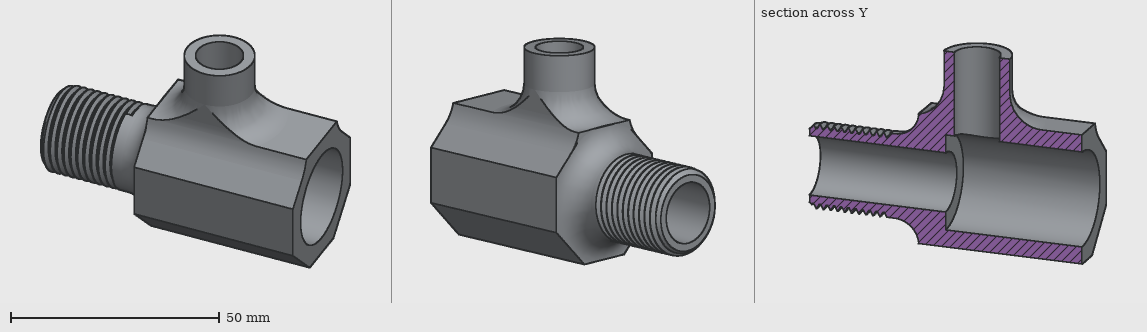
import cadquery as cq
import math

TOTAL_LENGTH = 70.0
TOTAL_HEIGHT = 50.0
ACROSS_FLATS = 33.0
SHOULDER_X = 28.0
BRANCH_X = 43.0
RUN_BORE_DIAMETER = 15.0
SOCKET_DIAMETER = 24.1
SOCKET_DEPTH = 35.0

SHANK_DIAMETER = 21.65
SHANK_CHAMFER = 1.45
SHANK_FLARE_RADIUS = 6.0

THREAD_PITCH = 1.814
THREAD_START_X = 0.25
THREAD_END_X = 20.0
THREAD_DEPTH = 1.2
THREAD_ROOT_WIDTH = 0.25
THREAD_HALF_ANGLE = 30.0
THREAD_END_ANGLE = 100.0
GROOVE_OVERSHOOT = 0.1

BRANCH_DIAMETER = 17.0
BRANCH_BORE_DIAMETER = 11.5
BRANCH_FLARE_RADIUS = 8.0
WEB_BLEND_RADIUS = 10.0

OCTAGON_SIDES = 8
OCTAGON_HALF_STEP_DEG = 180 / OCTAGON_SIDES
OCTAGON_HALF_STEP = math.radians(OCTAGON_HALF_STEP_DEG)
DIAGONAL = math.sin(math.radians(45))
THREAD_LENGTH = THREAD_END_X - THREAD_START_X
HALF_FLATS = ACROSS_FLATS / 2
HALF_SIDE = HALF_FLATS * math.tan(OCTAGON_HALF_STEP)
SHANK_RADIUS = SHANK_DIAMETER / 2
BRANCH_RADIUS = BRANCH_DIAMETER / 2
BODY_LENGTH = TOTAL_LENGTH - SHOULDER_X
BRANCH_TOP = TOTAL_HEIGHT - HALF_FLATS
BRANCH_FLARE_TOP = HALF_FLATS + BRANCH_FLARE_RADIUS


def make_web_section():
    """Extruded body section: an octagon whose top opens into flat branch-width sides."""
    corner_z = HALF_FLATS / DIAGONAL - BRANCH_RADIUS
    tangent_length = WEB_BLEND_RADIUS * math.tan(OCTAGON_HALF_STEP)
    diagonal_step = tangent_length * DIAGONAL
    arc_center_y = BRANCH_RADIUS + WEB_BLEND_RADIUS
    arc_center_z = corner_z + tangent_length
    arc_middle = (
        arc_center_y - WEB_BLEND_RADIUS * math.cos(OCTAGON_HALF_STEP),
        arc_center_z - WEB_BLEND_RADIUS * math.sin(OCTAGON_HALF_STEP),
    )
    arc_low = (BRANCH_RADIUS + diagonal_step, corner_z - diagonal_step)
    half = (
        cq.Workplane("YZ", origin=(SHOULDER_X, 0, 0))
        .moveTo(0, -HALF_FLATS)
        .lineTo(HALF_SIDE, -HALF_FLATS)
        .lineTo(HALF_FLATS, -HALF_SIDE)
        .lineTo(HALF_FLATS, HALF_SIDE)
        .lineTo(*arc_low)
        .threePointArc(arc_middle, (BRANCH_RADIUS, arc_center_z))
        .lineTo(BRANCH_RADIUS, BRANCH_TOP)
        .lineTo(0, BRANCH_TOP)
        .close()
        .extrude(BODY_LENGTH)
    )
    return half.union(half.mirror("XZ"))


def make_branch_envelope():
    """Revolved branch tube with a flare that runs out tangent to the body's top flat."""
    arc_middle = (
        BRANCH_RADIUS + BRANCH_FLARE_RADIUS * (1 - DIAGONAL),
        BRANCH_FLARE_TOP - BRANCH_FLARE_RADIUS * DIAGONAL,
    )
    return (
        cq.Workplane("XZ", origin=(BRANCH_X, 0, 0))
        .lineTo(0, BRANCH_TOP)
        .lineTo(BRANCH_RADIUS, BRANCH_TOP)
        .lineTo(BRANCH_RADIUS, BRANCH_FLARE_TOP)
        .threePointArc(arc_middle, (BRANCH_RADIUS + BRANCH_FLARE_RADIUS, HALF_FLATS))
        .lineTo(BRANCH_RADIUS + BRANCH_FLARE_RADIUS, 0)
        .close()
        .revolve(360, (0, 0, 0), (0, 1, 0))
    )


def make_body():
    """Octagonal body and branch, both trimmed to the same extruded section."""
    run_block = (
        cq.Workplane("YZ", origin=(SHOULDER_X, 0, 0))
        .rect(ACROSS_FLATS, ACROSS_FLATS)
        .extrude(BODY_LENGTH)
    )
    section = make_web_section()
    return section.intersect(run_block).union(section.intersect(make_branch_envelope()))


def make_shank():
    """Chamfered shank whose flare is trimmed by the flats of the octagon."""
    flare_start = SHOULDER_X - SHANK_FLARE_RADIUS
    flare_end_radius = SHANK_RADIUS + SHANK_FLARE_RADIUS
    arc_middle = (
        flare_start + SHANK_FLARE_RADIUS * DIAGONAL,
        flare_end_radius - SHANK_FLARE_RADIUS * DIAGONAL,
    )
    shank = (
        cq.Workplane("XZ")
        .lineTo(0, SHANK_RADIUS - SHANK_CHAMFER)
        .lineTo(SHANK_CHAMFER, SHANK_RADIUS)
        .lineTo(flare_start, SHANK_RADIUS)
        .threePointArc(arc_middle, (SHOULDER_X, flare_end_radius))
        .lineTo(SHOULDER_X, 0)
        .close()
        .revolve(360, (0, 0, 0), (1, 0, 0))
    )
    octagon = (
        cq.Workplane("YZ")
        .transformed(rotate=(0, 0, OCTAGON_HALF_STEP_DEG))
        .polygon(OCTAGON_SIDES, ACROSS_FLATS / math.cos(OCTAGON_HALF_STEP))
        .extrude(SHOULDER_X)
    )
    return shank.intersect(octagon)


def make_thread_groove():
    """Right-hand helical groove along the run axis, ending in a flat radial face."""
    root_radius = SHANK_RADIUS - THREAD_DEPTH
    mouth_radius = SHANK_RADIUS + GROOVE_OVERSHOOT
    half_root = THREAD_ROOT_WIDTH / 2
    half_mouth = half_root + (mouth_radius - root_radius) * math.tan(math.radians(THREAD_HALF_ANGLE))
    path = cq.Wire.makeHelix(THREAD_PITCH, THREAD_LENGTH, root_radius)
    groove = (
        cq.Workplane("XZ")
        .moveTo(root_radius, -half_root)
        .lineTo(root_radius, half_root)
        .lineTo(mouth_radius, half_mouth)
        .lineTo(mouth_radius, -half_mouth)
        .close()
        .sweep(cq.Workplane(obj=path), isFrenet=True)
    )
    swept_angle = 360 * THREAD_LENGTH / THREAD_PITCH
    turn = THREAD_END_ANGLE - swept_angle + 90
    along_x = groove.rotate((0, 0, 0), (0, 1, 0), 90).translate((THREAD_START_X, 0, 0))
    return along_x.rotate((0, 0, 0), (1, 0, 0), turn)


def make_run_bore():
    """Bore along the run, stepping up to the socket at the +X end."""
    through_bore = cq.Workplane("YZ").circle(RUN_BORE_DIAMETER / 2).extrude(TOTAL_LENGTH)
    socket = (
        cq.Workplane("YZ", origin=(TOTAL_LENGTH - SOCKET_DEPTH, 0, 0))
        .circle(SOCKET_DIAMETER / 2)
        .extrude(SOCKET_DEPTH)
    )
    return through_bore.union(socket)


def make_branch_bore():
    """Vertical bore from the branch mouth down to the run axis."""
    return (
        cq.Workplane("XY", origin=(BRANCH_X, 0, 0))
        .circle(BRANCH_BORE_DIAMETER / 2)
        .extrude(BRANCH_TOP)
    )


threaded_shank = make_shank().cut(make_thread_groove())
result = make_body().union(threaded_shank).cut(make_run_bore()).cut(make_branch_bore())